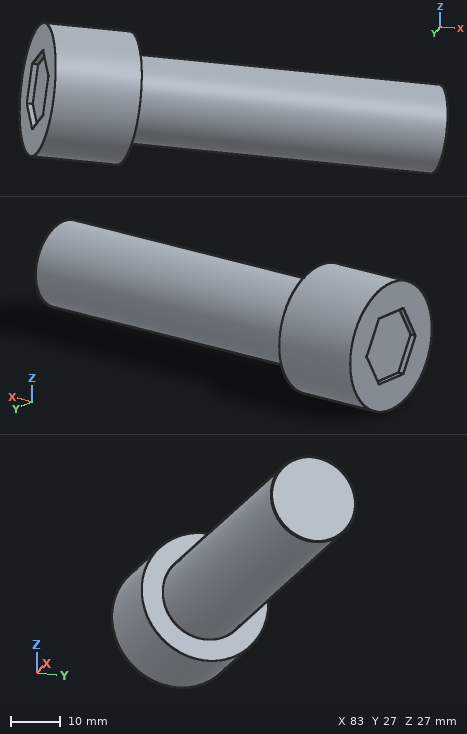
import cadquery as cq
import math

total_length = 83.0
head_diameter = 27.0
shank_diameter = 18.0
head_length = 17.9
tip_chamfer = 0.2

socket_across_flats = 13.95
socket_across_corners = socket_across_flats / math.cos(math.pi / 6)
socket_depth = 1.25

head_face_x = -total_length / 2

head_face = cq.Workplane("YZ", origin=(head_face_x, 0, 0))


def make_head():
    return head_face.circle(head_diameter / 2).extrude(head_length)


def make_shank():
    shank = head_face.circle(shank_diameter / 2).extrude(total_length)
    return shank.faces(">X").chamfer(tip_chamfer)


def make_socket():
    return head_face.polygon(6, socket_across_corners).extrude(socket_depth)


result = make_head().union(make_shank()).cut(make_socket())